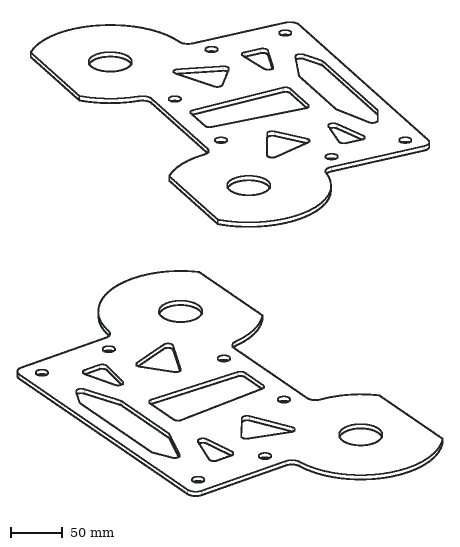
import cadquery as cq

thickness = 5.0
plate_width = 300.0
plate_top = 200.0
disc_radius = 80.0
disc_bottom = -60.0
hub_hole_diameter = 42.0
outline_radius = 10.0

mount_hole_diameter = 12.0
mount_holes = [(130.0, 180.0), (130.0, 100.0), (50.0, 20.0)]

window_radius = 5.0
top_window_half = [(-60.0, 185.0), (-90.0, 170.0), (-40.0, 150.0)]
centre_window_half = [(-25.0, 130.0), (-20.0, 20.0)]
small_triangle = [(-110.0, 150.0), (-110.0, 120.0), (-50.0, 130.0)]
large_triangle = [(-90.0, 100.0), (-110.0, 40.0), (-50.0, 70.0)]

half_width = plate_width / 2
sides = (-1, 1)


def mirrored(points):
    """Reflect points about the YZ plane."""
    return [(-x, y) for x, y in points]


def symmetric(left_half):
    """Close a left half outline with its mirror image."""
    return left_half + mirrored(left_half)[::-1]


def make_disc(side):
    """Wheel disc with its lower segment cut off flat."""
    disc = cq.Workplane("XY").center(side * half_width, 0).circle(disc_radius).extrude(thickness)
    keep_height = disc_radius - disc_bottom
    keep = (
        cq.Workplane("XY")
        .center(side * half_width, disc_bottom + keep_height / 2)
        .rect(2 * disc_radius, keep_height)
        .extrude(thickness)
    )
    return disc.intersect(keep)


def make_body():
    """Plate joined to both discs, with rounded top corners and disc junctions."""
    body = cq.Workplane("XY").center(0, plate_top / 2).rect(plate_width, plate_top).extrude(thickness)
    for side in sides:
        body = body.union(make_disc(side))
    inner_junction = half_width - disc_radius
    for side in sides:
        for x, y in [(half_width, plate_top), (half_width, disc_radius), (inner_junction, 0)]:
            corner = cq.selectors.NearestToPointSelector((side * x, y, thickness / 2))
            body = body.edges("|Z").edges(corner).fillet(outline_radius)
    return body


def make_window(corners):
    """Cutter for a polygonal window with rounded corners."""
    return cq.Workplane("XY").polyline(corners).close().extrude(thickness).edges("|Z").fillet(window_radius)


def make_holes(points, diameter):
    """Cutter for round through holes at the points and their mirror images."""
    return cq.Workplane("XY").pushPoints(points + mirrored(points)).circle(diameter / 2).extrude(thickness)


windows = [symmetric(top_window_half), symmetric(centre_window_half)]
for triangle in (small_triangle, large_triangle):
    windows += [triangle, mirrored(triangle)]

result = make_body()
for window in windows:
    result = result.cut(make_window(window))
result = result.cut(make_holes([(half_width, 0.0)], hub_hole_diameter))
result = result.cut(make_holes(mount_holes, mount_hole_diameter))